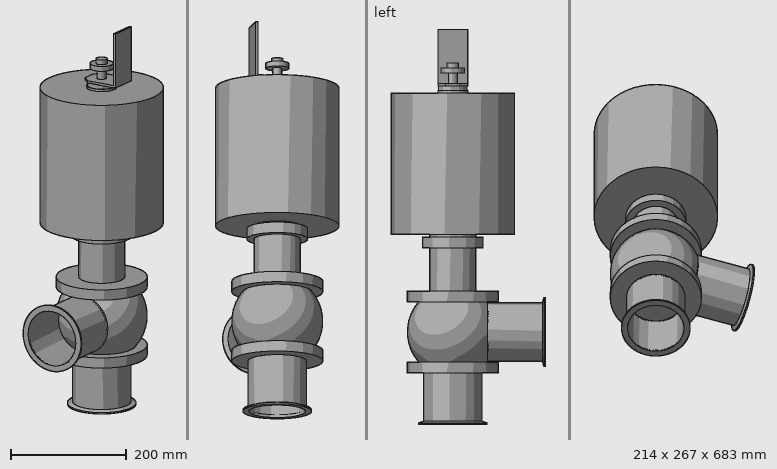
import cadquery as cq

TOTAL_HEIGHT = 683.0
ACTUATOR_DIAMETER = 214.0
ACTUATOR_BOTTOM = 328.5
ACTUATOR_TOP = 573.0

NECK_DIAMETER = 80.0
CLAMP_DIAMETER = 105.0
CLAMP_BOTTOM = 305.0
CLAMP_TOP = 323.5

BALL_DIAMETER = 158.0
BALL_CENTER_Z = 160.0
FLANGE_DIAMETER = BALL_DIAMETER
FLANGE_THICKNESS = 18.5
FLANGE_GAP = 104.5
LOWER_FLANGE_TOP = BALL_CENTER_Z - FLANGE_GAP / 2
UPPER_FLANGE_BOTTOM = BALL_CENTER_Z + FLANGE_GAP / 2

PIPE_DIAMETER = 102.0
PIPE_BORE = 97.5
FERRULE_DIAMETER = 119.0
FERRULE_RIM = 3.0
FERRULE_TAPER = 3.0
OVERALL_DEPTH = 267.0
SIDE_PORT_REACH = OVERALL_DEPTH - ACTUATOR_DIAMETER / 2

COLLAR_DIAMETER = 50.0
COLLAR_BASE_DIAMETER = 52.0
COLLAR_BASE_TOP = 577.0
COLLAR_TOP = 585.0
STEM_DIAMETER = 16.0
NUT_DIAMETER = 40.0
NUT_BOTTOM = 608.0
NUT_TOP = 616.5
STEM_HEAD_DIAMETER = 20.0
STEM_TOP = 625.0

BRACKET_THICKNESS = 4.0
BRACKET_WIDTH = 52.0
BRACKET_REACH = 44.5
BRACKET_CORNER = 13.5


def disc(diameter, bottom, top):
    """Upright cylinder on the valve axis between two heights."""
    return cq.Workplane("XY").workplane(offset=bottom).circle(diameter / 2).extrude(top - bottom)


def ball():
    return cq.Workplane("XY").sphere(BALL_DIAMETER / 2).translate((0, 0, BALL_CENTER_Z))


def pipe(length):
    """Solid pipe on +Z with its ferrule face at z = 0."""
    taper_end = FERRULE_RIM + FERRULE_TAPER
    return (
        cq.Workplane("XZ")
        .moveTo(0, 0)
        .lineTo(FERRULE_DIAMETER / 2, 0)
        .lineTo(FERRULE_DIAMETER / 2, FERRULE_RIM)
        .lineTo(PIPE_DIAMETER / 2, taper_end)
        .lineTo(PIPE_DIAMETER / 2, length)
        .lineTo(0, length)
        .close()
        .revolve(360, (0, 0, 0), (0, 1, 0))
    )


def aim_at_side_port(shape):
    """Turn a shape built from the z = 0 ferrule face onto the -Y port."""
    turned = shape.rotate((0, 0, 0), (1, 0, 0), -90)
    return turned.translate((0, -SIDE_PORT_REACH, BALL_CENTER_Z))


def make_valve():
    lower_pipe = pipe(BALL_CENTER_Z)
    lower_bore = disc(PIPE_BORE, 0, BALL_CENTER_Z)
    side_pipe = aim_at_side_port(pipe(SIDE_PORT_REACH))
    side_bore = aim_at_side_port(disc(PIPE_BORE, 0, SIDE_PORT_REACH))

    chamber_bottom = LOWER_FLANGE_TOP - FLANGE_THICKNESS
    chamber_top = UPPER_FLANGE_BOTTOM + FLANGE_THICKNESS
    chamber = ball().intersect(disc(FLANGE_DIAMETER, chamber_bottom, chamber_top))

    valve = lower_pipe.union(side_pipe)

    valve = valve.cut(lower_bore).cut(side_bore).union(chamber)
    for bottom in (chamber_bottom, UPPER_FLANGE_BOTTOM):
        valve = valve.union(disc(FLANGE_DIAMETER, bottom, bottom + FLANGE_THICKNESS))

    upper_stack = [
        (NECK_DIAMETER, UPPER_FLANGE_BOTTOM, ACTUATOR_BOTTOM),
        (CLAMP_DIAMETER, CLAMP_BOTTOM, CLAMP_TOP),
        (ACTUATOR_DIAMETER, ACTUATOR_BOTTOM, ACTUATOR_TOP),
        (COLLAR_BASE_DIAMETER, ACTUATOR_TOP, COLLAR_BASE_TOP),
        (COLLAR_DIAMETER, COLLAR_BASE_TOP, COLLAR_TOP),
        (STEM_DIAMETER, COLLAR_TOP, NUT_BOTTOM),
        (NUT_DIAMETER, NUT_BOTTOM, NUT_TOP),
        (STEM_HEAD_DIAMETER, NUT_TOP, STEM_TOP),
    ]
    for diameter, bottom, top in upper_stack:
        valve = valve.union(disc(diameter, bottom, top))
    return valve


def make_bracket():
    half_width = BRACKET_WIDTH / 2
    foot = (
        cq.Workplane("XY")
        .box(BRACKET_REACH + half_width, BRACKET_WIDTH, BRACKET_THICKNESS, centered=(False, True, False))
        .translate((-half_width, 0, COLLAR_TOP))
        .edges("|Z and <X")
        .chamfer(BRACKET_CORNER)
    )
    upright = (
        cq.Workplane("XY")
        .box(BRACKET_THICKNESS, BRACKET_WIDTH, TOTAL_HEIGHT - COLLAR_TOP, centered=(False, True, False))
        .translate((BRACKET_REACH - BRACKET_THICKNESS, 0, COLLAR_TOP))
    )
    stem_hole = disc(STEM_DIAMETER, COLLAR_TOP, NUT_BOTTOM)
    return foot.union(upright).cut(stem_hole)


valve = make_valve()
bracket = make_bracket()
result = cq.Compound.makeCompound([valve.val(), bracket.val()])